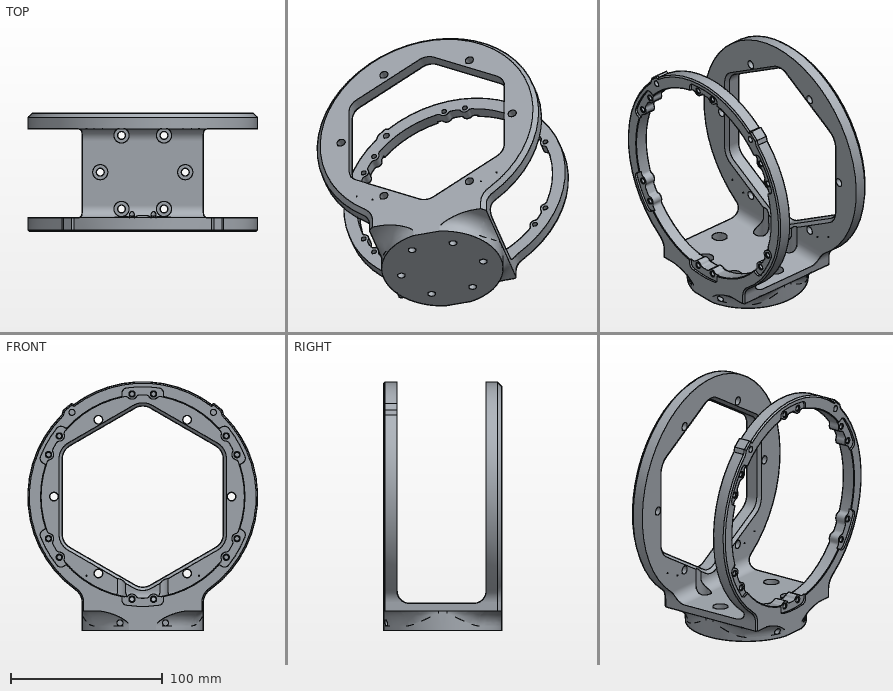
import cadquery as cq
import math

ring_radius = 75.75
depth = 78.0
overall_height = 164.0

rear_thickness = 10.5
front_thickness = 9.0
rear_chamfer = 3.0
front_chamfer = 1.0

tab_half_width = 40.0
neck_fillet = 10.0
floor_thickness = 5.0
base_height = 13.0
gap_fillet = 8.0

base_radius = tab_half_width
base_fillet = 10.0
flare_start_angle = 4.0
flare_steps = 4

bolt_circle_radius = 28.0
bolt_hole = 5.0
bolt_head = 10.0
bolt_seat_height = 5.0

hex_apothem = 53.0
hex_corner_radius = 10.0
hex_chamfer = 2.2
rear_hole_circle = 58.5
rear_hole = 5.5

pinhole = 0.5
pinhole_places = [(37.0, -52.2), (47.8, -47.2)]

bore_radius = 67.0
bore_chamfer = 0.4
screw_circle = 68.0
screw_half_angle = 6.0
screw_hole = 3.2
screw_countersink = 4.2
boss_radius = 3.4
boss_blend = 2.5
recess_outer_radius = 72.4
recess_half_width = 13.7
recess_corner = 3.5
recess_depth = 1.5

pad_angle = 40.0
pad_distance = 77.25
pad_width = 7.0
pad_upper_root = 4.25
pad_lower_root = 6.3
pad_hole_circle = 72.5
pad_hole = 4.0

side_hole = 4.0
side_hole_x = 15.0
side_hole_height = 5.0
side_hole_depth = 8.0

front_y = -depth / 2
rear_y = depth / 2
gap_front_y = front_y + front_thickness
gap_rear_y = rear_y - rear_thickness
bottom_z = ring_radius - overall_height
plate_bottom_z = bottom_z + base_height
plate_top_z = plate_bottom_z + floor_thickness
bolt_head_top_z = -hex_apothem / 2

clear = 2.0
sixths = [60 * i for i in range(6)]


def front_sketch(y):
    """Workplane with local x = X and local y = Z; positive extrusion runs toward -Y."""
    return cq.Workplane("XZ", origin=(0, y, 0))


def y_cylinders(radius, y_start, y_end, points):
    """Cylinders along Y centered on the given (x, z) points."""
    return front_sketch(y_end).pushPoints(points).circle(radius).extrude(y_end - y_start)


def polar_points(radius, angles):
    turns = [math.radians(angle) for angle in angles]
    return [(radius * math.cos(turn), radius * math.sin(turn)) for turn in turns]


def mirrored_points(points):
    return [(side * x, z) for x, z in points for side in (-1, 1)]


screw_angles = [30 + angle + side * screw_half_angle for angle in sixths for side in (-1, 1)]
screw_points = polar_points(screw_circle, screw_angles)


def about_ring_axis(solid, angle):
    return solid.rotate((0, 0, 0), (0, 1, 0), angle)


def ring_pad(y_start, y_end):
    """Flat-topped pad on the left of the rim; its lower flank runs out more gently."""
    upper_z = math.sqrt(ring_radius ** 2 - pad_upper_root ** 2)
    lower_z = math.sqrt(ring_radius ** 2 - pad_lower_root ** 2)
    inner_z = bore_radius + clear
    pad = (
        front_sketch(y_end)
        .moveTo(-pad_lower_root, inner_z)
        .lineTo(-pad_lower_root, lower_z)
        .lineTo(-pad_width / 2, pad_distance)
        .lineTo(pad_width / 2, pad_distance)
        .lineTo(pad_upper_root, upper_z)
        .lineTo(pad_upper_root, inner_z)
        .close()
        .extrude(y_end - y_start)
    )
    return about_ring_axis(pad, -pad_angle)


def outline(y_start, y_end, with_pads=False):
    """Disc with the mounting tab below it, blended at the neck."""
    blend_x = tab_half_width + neck_fillet
    blend_z = -math.sqrt((ring_radius + neck_fillet) ** 2 - blend_x ** 2)
    toward_ring = math.atan2(-blend_z, -blend_x)
    ring_x = blend_x + neck_fillet * math.cos(toward_ring)
    ring_z = blend_z + neck_fillet * math.sin(toward_ring)
    mid_angle = (math.pi + toward_ring) / 2
    mid_x = blend_x + neck_fillet * math.cos(mid_angle)
    mid_z = blend_z + neck_fillet * math.sin(mid_angle)
    body = (
        front_sketch(y_end)
        .moveTo(-tab_half_width, plate_bottom_z)
        .lineTo(tab_half_width, plate_bottom_z)
        .lineTo(tab_half_width, blend_z)
        .threePointArc((mid_x, mid_z), (ring_x, ring_z))
        .threePointArc((0, ring_radius), (-ring_x, ring_z))
        .threePointArc((-mid_x, mid_z), (-tab_half_width, blend_z))
        .close()
        .extrude(y_end - y_start)
    )
    if with_pads:
        pad = ring_pad(y_start, y_end)
        body = body.union(pad).union(pad.mirror("YZ"))
    return body


def chamfer_outline(body, face, size):
    """Chamfer the rim of one end face, leaving the straight bottom edge sharp."""
    bottom_edge = cq.selectors.BoxSelector(
        (-clear, -depth, plate_bottom_z - clear), (clear, depth, plate_bottom_z + clear))
    return body.faces(face).edges().edges(cq.selectors.InverseSelector(bottom_edge)).chamfer(size)


def chamfer_opening(body, size):
    """Chamfer the rim of the only opening in the face nearest -Y."""
    face = body.faces("<Y")
    return face.newObject(face.val().innerWires()).edges().chamfer(size)


def hex_window():
    """Hexagonal prism with rounded corners, one corner pointing up."""
    corner_circle = 2 * hex_apothem / math.cos(math.radians(30))
    window = front_sketch(rear_y).polygon(6, corner_circle).extrude(rear_thickness)
    return about_ring_axis(window.edges("|Y").fillet(hex_corner_radius), 30)


def rear_ring():
    """Ring with a hexagonal window, six through holes and two pairs of pinholes."""
    ring = chamfer_outline(outline(gap_rear_y, rear_y), ">Y", rear_chamfer)
    ring = chamfer_opening(ring.cut(hex_window()), hex_chamfer)
    holes = y_cylinders(rear_hole / 2, gap_rear_y, rear_y, polar_points(rear_hole_circle, sixths))
    pinholes = y_cylinders(pinhole / 2, gap_rear_y, rear_y, mirrored_points(pinhole_places))
    return ring.cut(holes).cut(pinholes)


def front_bore():
    """Bore with screw bosses left standing on its wall, deep enough to clear the floor fillet."""
    y_end = gap_front_y + gap_fillet
    bosses = y_cylinders(boss_radius, front_y, y_end, screw_points)
    bore = y_cylinders(bore_radius, front_y, y_end, [(0, 0)]).cut(bosses)
    return bore.edges("|Y").fillet(boss_blend)


def screw_recess():
    """Shallow seat around the topmost pair of screws, with rounded outer corners."""
    floor_y = front_y + recess_depth
    inner_z = screw_circle - boss_radius - clear
    strip = (
        front_sketch(floor_y)
        .center(0, inner_z + ring_radius / 2)
        .rect(2 * recess_half_width, ring_radius)
        .extrude(recess_depth)
        .intersect(y_cylinders(recess_outer_radius, front_y, floor_y, [(0, 0)]))
    )
    outer_corners = cq.selectors.BoxSelector(
        (-ring_radius, -depth, bore_radius + clear), (ring_radius, depth, ring_radius))
    return strip.edges("|Y").edges(outer_corners).fillet(recess_corner)


def screw_holes():
    """Countersunk holes through the bosses of the front ring."""
    holes = y_cylinders(screw_hole / 2, front_y, gap_front_y + gap_fillet, screw_points)
    cone = cq.Solid.makeCone(
        screw_countersink / 2,
        screw_hole / 2,
        (screw_countersink - screw_hole) / 2,
        pnt=cq.Vector(0, front_y + recess_depth, 0),
        dir=cq.Vector(0, 1, 0),
    )
    cones = [cone.translate(cq.Vector(x, 0, z)) for x, z in screw_points]
    return holes.newObject(holes.vals() + cones)


def front_ring():
    """Ring with rim pads, a bossed bore, six screw seats and a hole behind each pad."""
    ring = chamfer_outline(outline(front_y, gap_front_y, with_pads=True), "<Y", front_chamfer)
    ring = chamfer_opening(ring.cut(front_bore()), bore_chamfer)
    recess = screw_recess()
    for angle in sixths:
        ring = ring.cut(about_ring_axis(recess, angle))
    pad_holes = polar_points(pad_hole_circle, (90 - pad_angle, 90 + pad_angle))
    return ring.cut(y_cylinders(pad_hole / 2, front_y, gap_front_y, pad_holes))


def floor_block():
    """Middle of the U between the rings: the outline cut down to a floor with filleted corners."""
    gap_depth = gap_rear_y - gap_front_y
    gap = (
        cq.Workplane("XY", origin=(0, (gap_front_y + gap_rear_y) / 2, plate_top_z))
        .box(4 * ring_radius, gap_depth, 2 * ring_radius, centered=(True, True, False))
        .faces("<Z")
        .edges("|X")
        .fillet(gap_fillet)
    )
    return outline(gap_front_y, gap_rear_y).cut(gap)


def flare_profile(angle):
    """Radial section of the flare; near the sides its arc ends on the plate's side edge."""
    turn = math.radians(angle)
    edge_r = min(tab_half_width / math.cos(turn), base_radius + base_fillet)
    center_r = base_radius + base_fillet
    end_angle = math.acos((edge_r - center_r) / base_fillet)
    center_z = plate_bottom_z - base_fillet * math.sin(end_angle)
    mid_angle = (math.pi + end_angle) / 2
    mid_r = center_r + base_fillet * math.cos(mid_angle)
    mid_z = center_z + base_fillet * math.sin(mid_angle)
    plane = cq.Plane(
        origin=(0, 0, 0),
        xDir=(math.cos(turn), math.sin(turn), 0),
        normal=(math.sin(turn), -math.cos(turn), 0),
    )
    return (
        cq.Workplane(plane)
        .moveTo(base_radius - clear, plate_bottom_z)
        .lineTo(base_radius - clear, center_z)
        .lineTo(base_radius, center_z)
        .threePointArc((mid_r, mid_z), (edge_r, plate_bottom_z))
        .close()
    )


def base_flare():
    """Concave blend from the base up to the plate, fading out where they meet at the sides."""
    full_angle = math.degrees(math.acos(tab_half_width / (base_radius + base_fillet)))
    step = (full_angle - flare_start_angle) / flare_steps
    angles = [flare_start_angle + step * i for i in range(flare_steps + 1)]
    wires = [flare_profile(angle).wire().val() for angle in angles]
    fading = cq.Workplane(cq.Solid.makeLoft(wires))
    sweep = 180 - 2 * full_angle
    full = flare_profile(full_angle).revolve(sweep, (0, 0), (0, 1))
    half = fading.union(fading.mirror("YZ")).union(full)
    return half.union(half.mirror("XZ"))


def base():
    """Round foot and its flare, trimmed to the width and depth of the plate above."""
    disc = cq.Workplane("XY", origin=(0, 0, bottom_z)).circle(base_radius).extrude(base_height)
    envelope = cq.Workplane("XY", origin=(0, 0, bottom_z)).box(
        2 * tab_half_width, depth, base_height, centered=(True, True, False))
    return disc.union(base_flare()).intersect(envelope)


def bolt_cutters():
    """Through holes on the bolt circle with head clearance cut upward through the rings."""
    points = polar_points(bolt_circle_radius, sixths)
    seat_z = bottom_z + bolt_seat_height
    holes = (
        cq.Workplane("XY", origin=(0, 0, bottom_z))
        .pushPoints(points)
        .circle(bolt_hole / 2)
        .extrude(base_height)
    )
    heads = (
        cq.Workplane("XY", origin=(0, 0, seat_z))
        .pushPoints(points)
        .circle(bolt_head / 2)
        .extrude(bolt_head_top_z - seat_z)
    )
    return holes.union(heads)


def side_holes():
    """Two blind holes entering the foot from the front."""
    points = mirrored_points([(side_hole_x, bottom_z + side_hole_height)])
    return y_cylinders(side_hole / 2, front_y, front_y + side_hole_depth, points)


body = front_ring().union(floor_block()).union(rear_ring()).union(base())
result = body.cut(front_bore()).cut(screw_holes()).cut(bolt_cutters()).cut(side_holes())